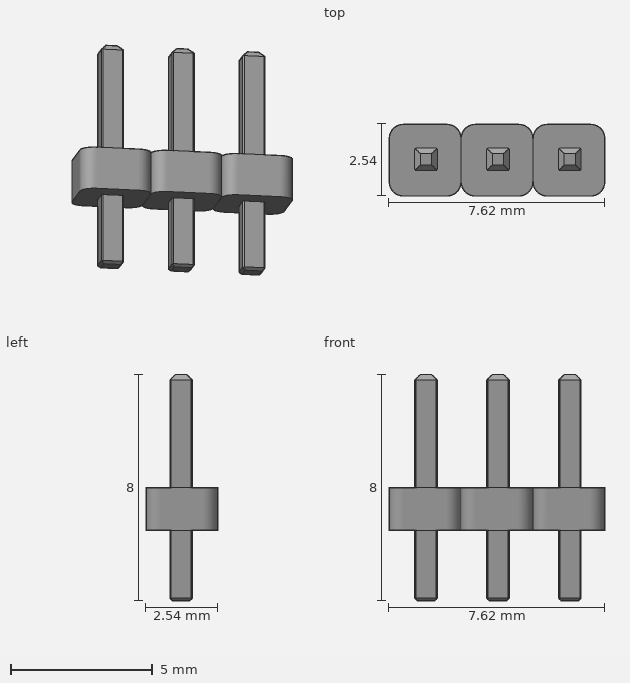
import cadquery as cq

position_count = 3
pitch = 2.54

pin_length = 8.0
pin_width = 0.8
pin_offset = 0.03
pin_edge_chamfer = 0.05
tip_chamfer = 0.2
tail_chamfer = 0.1

block_height = 1.5
block_corner_radius = 0.5
tail_length = 2.5


def make_pin(x):
    """Square pin with beveled long edges, a long-chamfered tip and a short-chamfered tail."""
    return (
        cq.Workplane("XY")
        .center(x + pin_offset, pin_offset)
        .rect(pin_width, pin_width)
        .extrude(pin_length)
        .faces(">Z").chamfer(tip_chamfer)
        .faces("<Z").chamfer(tail_chamfer)
        .edges("|Z").chamfer(pin_edge_chamfer)
    )


def make_block(x, pin):
    """Rounded square insulator, with a hole that fits the pin."""
    block = (
        cq.Workplane("XY", origin=(x, 0, tail_length))
        .rect(pitch, pitch)
        .extrude(block_height)
        .edges("|Z").fillet(block_corner_radius)
    )
    return block.cut(pin)


bodies = []
for index in range(position_count):
    x = (index - (position_count - 1) / 2) * pitch
    pin = make_pin(x)
    block = make_block(x, pin)
    bodies.append(pin.val())
    bodies.append(block.val())

result = cq.Compound.makeCompound(bodies)